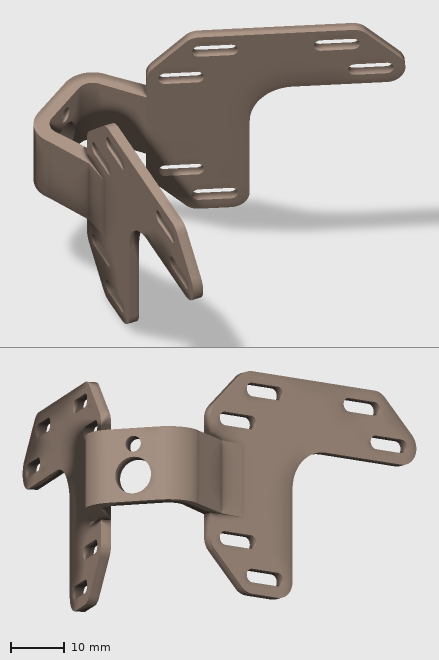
import cadquery as cq
import math

plate_thickness = 2.0
strap_thickness = 3.0
wing_angle = 35.0

slot_width = 2.6
slot_travel = 6.0
slot_spacing = 9.0
slot_outer = 17.8
slot_inner = slot_outer - slot_spacing * math.sqrt(0.5)
edge_margin = 3.5
inner_corner_radius = 8.0

plate_half_height = slot_outer + edge_margin
plate_half_length = plate_half_height + slot_travel / 2
plate_length = 2 * plate_half_length

plate_start_x = 14.09
plate_start_y = 10.76

strap_height = 14.0
web_half_width = 5.0
bend_inner_radius = 3.0
bend_outer_radius = bend_inner_radius + strap_thickness
leg_angle = 9.0
leg_end_x = 15.63
pad_start = 7.85
pad_end = 15.8
pad_depth = plate_thickness / 2

large_hole_diameter = 7.0
large_hole_z = -2.0
small_hole_diameter = 3.0
small_hole_z = 4.0


def wing_point(along, depth=0.0):
    """XY point a distance along the +Y plate and a depth below its outward face."""
    angle = math.radians(wing_angle)
    return (
        plate_start_x + along * math.cos(angle) + depth * math.sin(angle),
        plate_start_y + along * math.sin(angle) - depth * math.cos(angle),
    )


def plate_outline(plane):
    """L-shaped plate with 45 degree corners; local x runs along the wing, y is Z."""
    diagonal = edge_margin * math.sqrt(0.5)
    near_arc_x = edge_margin
    near_top_x = edge_margin + slot_outer - slot_inner
    far_arc_x = plate_length - near_arc_x
    far_top_x = plate_length - near_top_x
    leg_width = near_top_x + slot_travel + edge_margin
    arm_bottom = slot_inner - edge_margin
    mid_arc = inner_corner_radius * (1 - math.sqrt(0.5))

    return (
        cq.Workplane(plane)
        .moveTo(0, -slot_inner)
        .lineTo(0, slot_inner)
        .radiusArc((near_arc_x - diagonal, slot_inner + diagonal), edge_margin)
        .lineTo(near_top_x - diagonal, slot_outer + diagonal)
        .radiusArc((near_top_x, plate_half_height), edge_margin)
        .lineTo(far_top_x, plate_half_height)
        .radiusArc((far_top_x + diagonal, slot_outer + diagonal), edge_margin)
        .lineTo(far_arc_x + diagonal, slot_inner + diagonal)
        .threePointArc((plate_length, slot_inner), (far_arc_x + diagonal, slot_inner - diagonal))
        .radiusArc((far_arc_x, arm_bottom), edge_margin)
        .lineTo(leg_width + inner_corner_radius, arm_bottom)
        .threePointArc(
            (leg_width + mid_arc, arm_bottom - mid_arc),
            (leg_width, arm_bottom - inner_corner_radius),
        )
        .lineTo(leg_width, -slot_outer)
        .radiusArc((leg_width - edge_margin, -plate_half_height), edge_margin)
        .lineTo(near_top_x, -plate_half_height)
        .radiusArc((near_top_x - diagonal, -slot_outer - diagonal), edge_margin)
        .lineTo(near_arc_x - diagonal, -slot_inner - diagonal)
        .radiusArc((0, -slot_inner), edge_margin)
        .close()
    )


def make_plate():
    """The +Y wing plate with its six slots."""
    angle = math.radians(wing_angle)
    plane = cq.Plane(
        origin=(plate_start_x, plate_start_y, 0),
        xDir=(math.cos(angle), math.sin(angle), 0),
        normal=(math.sin(angle), -math.cos(angle), 0),
    )
    slot_centres = []
    for side in (-1, 1):
        slot_centres.append((plate_half_length - slot_outer, side * slot_inner))
        slot_centres.append((plate_half_length - slot_inner, side * slot_outer))
    slot_centres.append((plate_half_length + slot_inner, slot_outer))
    slot_centres.append((plate_half_length + slot_outer, slot_inner))

    slots = (
        cq.Workplane(plane)
        .pushPoints(slot_centres)
        .slot2D(slot_travel + slot_width, slot_width)
        .extrude(plate_thickness)
    )
    return plate_outline(plane).extrude(plate_thickness).cut(slots)


def make_strap_half():
    """The +Y half of the bent strap; its pad tapers into the plate's thickness."""
    outer_bend_y = web_half_width + bend_outer_radius
    inner_bend_y = web_half_width + bend_inner_radius
    leg_rise = (leg_end_x - bend_outer_radius) * math.tan(math.radians(leg_angle))
    bend_mid = math.sqrt(0.5)
    inner_mid_x = bend_outer_radius - bend_inner_radius * bend_mid
    inner_mid_y = web_half_width + bend_inner_radius * bend_mid

    return (
        cq.Workplane("XY", origin=(0, 0, -strap_height / 2))
        .moveTo(0, 0)
        .lineTo(0, web_half_width)
        .threePointArc(
            (bend_outer_radius * (1 - bend_mid), web_half_width + bend_outer_radius * bend_mid),
            (bend_outer_radius, outer_bend_y),
        )
        .lineTo(leg_end_x, outer_bend_y + leg_rise)
        .lineTo(*wing_point(pad_start))
        .lineTo(*wing_point(pad_end))
        .lineTo(*wing_point(pad_end, pad_depth))
        .lineTo(*wing_point(0, plate_thickness))
        .lineTo(bend_outer_radius, inner_bend_y)
        .threePointArc((inner_mid_x, inner_mid_y), (strap_thickness, web_half_width))
        .lineTo(strap_thickness, 0)
        .close()
        .extrude(strap_height)
    )


def make_web_holes():
    """Cutters along X for the two holes in the strap web."""
    large = cq.Workplane("YZ").center(0, large_hole_z).circle(large_hole_diameter / 2)
    small = cq.Workplane("YZ").center(0, small_hole_z).circle(small_hole_diameter / 2)
    return large.extrude(strap_thickness).union(small.extrude(strap_thickness))


half_strap = make_strap_half()
strap = half_strap.union(half_strap.mirror("XZ")).cut(make_web_holes())
plate = make_plate()
result = strap.union(plate, clean=False).union(plate.mirror("XZ"), clean=False)